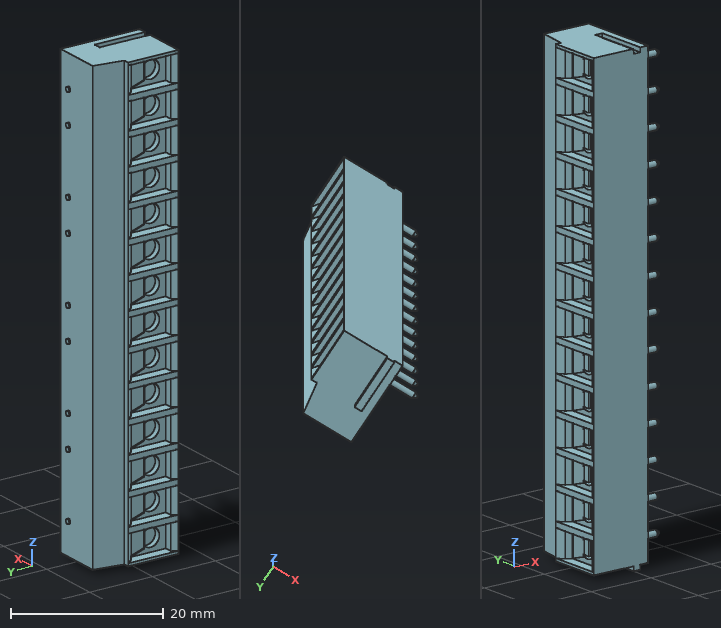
import cadquery as cq

pole_count = 14
pitch = 5.08
length = pole_count * pitch
overall_length = 71.81
overall_height = 12.8

body_depth = 9.1
body_height = 12.6
step_height = 8.05
step_depth = 0.85
crown_setback = 1.6

partition = 0.9
pocket_width = pitch - partition
pocket_floor = 1.65
upper_bevel_depth = 0.8
lip_bevel_depth = 0.5
upper_bevel_bottom = 7.0
floor_top = 6.6
floor_bottom = 0.9
lip_thickness = 0.1

entry_radius = 1.4
entry_y = 3.35
entry_depth = 0.8
ramp_top = 4.33
ramp_bottom = 3.9

guide_depth = 0.15
guide_end_width = 2.7
guide_floor = pocket_floor + guide_depth
entry_floor = guide_floor + entry_depth

pin_diameter = 1.0
pin_y = 3.4
pin_end = 13.5
pin_taper = 0.55
pin_tip_inset = 0.35
pin_embed = 1.0

rail_x = 6.7
rail_width = 1.1
rail_height = overall_length - length
groove_clearance = 0.1
groove_lean = 0.2

bump_x = 7.15
bump_diameter = 0.75
bump_height = overall_height - body_height
bump_group = 3
plain_boundary = 2


def make_housing():
    outline = [
        (0, 0),
        (body_depth, 0),
        (body_depth, body_height),
        (crown_setback, body_height),
        (step_depth, step_height),
        (0, step_height),
    ]
    return cq.Workplane("XY").polyline(outline).close().extrude(length)


def make_pocket(z_mid):
    outline = [
        (0, lip_thickness),
        (lip_bevel_depth, floor_bottom),
        (pocket_floor, floor_bottom),
        (pocket_floor, floor_top),
        (upper_bevel_depth, upper_bevel_bottom),
        (0, step_height),
    ]
    z_low = z_mid - pocket_width / 2
    pocket = cq.Workplane("XY", origin=(0, 0, z_low)).polyline(outline).close().extrude(pocket_width)
    return pocket.union(make_entry(z_mid)).union(make_guide(z_mid))


def make_entry(z_mid):
    """Round bore limited on its +Y side by the ramp and the flat wall below it."""
    bore_bottom = entry_y - entry_radius
    bore = (
        cq.Workplane("YZ", origin=(pocket_floor, entry_y, z_mid))
        .circle(entry_radius)
        .extrude(entry_floor - pocket_floor)
    )
    side = [
        (pocket_floor, ramp_top),
        (guide_floor, ramp_top),
        (guide_floor + ramp_top - ramp_bottom, ramp_bottom),
        (entry_floor, ramp_bottom),
        (entry_floor, bore_bottom),
        (pocket_floor, bore_bottom),
    ]
    limit = (
        cq.Workplane("XY", origin=(0, 0, z_mid))
        .polyline(side)
        .close()
        .extrude(entry_radius, both=True)
    )
    return bore.intersect(limit)


def make_guide(z_mid):
    outline = [
        (floor_top, -pocket_width / 2),
        (floor_top, pocket_width / 2),
        (ramp_top, guide_end_width / 2),
        (ramp_top, -guide_end_width / 2),
    ]
    return (
        cq.Workplane("YZ", origin=(pocket_floor, 0, z_mid))
        .polyline(outline)
        .close()
        .extrude(guide_depth)
    )


def make_pin(z_mid):
    return (
        cq.Workplane("YZ", origin=(body_depth - pin_embed, pin_y, z_mid))
        .circle(pin_diameter / 2)
        .extrude(pin_end - body_depth + pin_embed)
        .faces(">X")
        .chamfer(pin_taper, pin_tip_inset)
    )


def make_rail():
    return (
        cq.Workplane("XY", origin=(rail_x, 0, -rail_height))
        .rect(rail_width, step_height, centered=False)
        .extrude(rail_height)
    )


def make_groove():
    """Groove for the rail of a neighbouring block; its -X wall leans outwards."""
    z_floor = length - rail_height
    mouth_left = rail_x - groove_clearance
    right = rail_x + rail_width
    outline = [
        (mouth_left, length),
        (right, length),
        (right, z_floor),
        (mouth_left + groove_lean, z_floor),
    ]
    return cq.Workplane("XZ").polyline(outline).close().extrude(-step_height)


def make_bump(z_mid):
    return (
        cq.Workplane("XZ", origin=(bump_x, body_height, z_mid))
        .circle(bump_diameter / 2)
        .extrude(-bump_height)
    )


result = make_housing()
for pole in range(pole_count):
    z_pole = (pole + 0.5) * pitch
    result = result.cut(make_pocket(z_pole))
    result = result.union(make_pin(z_pole))

result = result.union(make_rail())
result = result.cut(make_groove())

for boundary in range(1, pole_count):
    if boundary % bump_group != plain_boundary:
        result = result.union(make_bump(boundary * pitch))